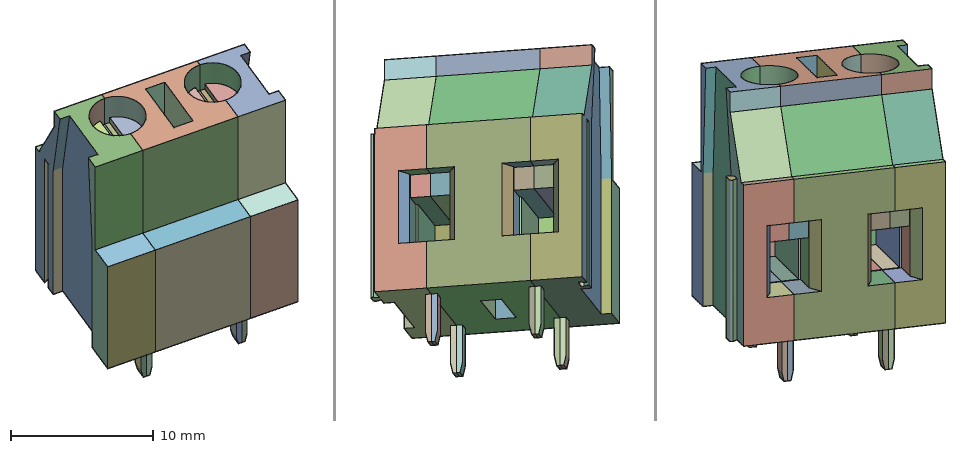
import cadquery as cq

total_height = 21.5
total_depth = 11.2
total_length = 15.6
block_height = 18.0
pitch = 7.5
block_length = 2 * pitch
half_length = block_length / 2
pole_offset = pitch / 2
pole_positions = (-pole_offset, pole_offset)

ledge_height = 12.05
ledge_width = 0.54
tower_front = 2.9
slope_top = 16.5
tower_back = 9.27
shoulder_height = 9.93

recess_depth = 0.75
recess_bottom_front = 2.75
recess_bottom_back = 8.8
recess_top_front = 3.8
recess_top_back = 8.2

dovetail_x = 1.7
dovetail_neck_width = 0.54
dovetail_wide_width = 0.99
dovetail_height = total_length - block_length
dovetail_straight = 0.22
dovetail_corner_radius = 0.17

screw_x = 5.35
bore_diameter = 4.0
bore_depth = 2.0
screw_slot_width = 0.75
screw_slot_depth = 0.5

entry_bottom = 3.45
mouth_top = 8.8
mouth_width = 4.06
mouth_taper_depth = 0.97
mouth_depth = 1.16
tunnel_top = 7.12
tunnel_width = 2.9
tunnel_end = 2.82
chamber_width = 2.6
chamber_bottom = 3.48
chamber_end = 2 * screw_x - tunnel_end

pin_length = total_height - block_height
pin_width_x = 0.92
pin_width_y = 0.85
pin_tip_width = 0.52
pin_tip_length = 0.73
front_pin_x = 1.9
pin_positions = (front_pin_x, front_pin_x + pitch)


def box(x_range, y_range, z_range):
    """Box spanning the given (low, high) pairs."""
    sizes = [high - low for low, high in (x_range, y_range, z_range)]
    corner = (x_range[0], y_range[0], z_range[0])
    return cq.Workplane("XY").box(*sizes, centered=False).translate(corner)


def centred_range(centre, width):
    return (centre - width / 2, centre + width / 2)


def block_slice(y_low, y_high):
    """Plain block profile extruded from y_low to y_high."""
    outline = [
        (0, 0),
        (0, ledge_height),
        (ledge_width, ledge_height),
        (tower_front, slope_top),
        (tower_front, block_height),
        (tower_back, block_height),
        (tower_back, shoulder_height),
        (total_depth, shoulder_height),
        (total_depth, 0),
    ]
    plane = cq.Workplane("XZ", origin=(0, y_low, 0))
    return plane.polyline(outline).close().extrude(y_low - y_high)


def side_recess(y_low, y_high):
    """Full-height recess in an end face, narrowing above the ledge and the shoulder."""
    outline = [
        (recess_bottom_front, 0),
        (recess_bottom_front, ledge_height),
        (recess_top_front, block_height),
        (recess_top_back, block_height),
        (recess_bottom_back, shoulder_height),
        (recess_bottom_back, 0),
    ]
    plane = cq.Workplane("XZ", origin=(0, y_low, 0))
    return plane.polyline(outline).close().extrude(y_low - y_high)


def middle_slot():
    """Straight slot through the block between the poles."""
    return box(
        (recess_top_front, recess_top_back),
        (-recess_depth, recess_depth),
        (0, block_height),
    )


def dovetail(root_y):
    """Dovetail prism standing on the plane y = root_y and widening towards +Y."""
    neck = dovetail_neck_width / 2
    wide = dovetail_wide_width / 2
    straight_y = dovetail_height - dovetail_straight
    outline = [
        (-neck, 0),
        (-wide, straight_y),
        (-wide, dovetail_height),
        (wide, dovetail_height),
        (wide, straight_y),
        (neck, 0),
    ]
    prism = cq.Workplane("XY").polyline(outline).close().extrude(ledge_height)
    prism = prism.edges("|Z and >Y").fillet(dovetail_corner_radius)
    return prism.translate((dovetail_x, root_y, 0))


def screw_cylinder(pole_y, z_low, z_high):
    """Cylinder on the screw axis, turned so that its seam lies off the plane between the bodies."""
    plane = cq.Plane(origin=(screw_x, pole_y, z_low), xDir=(0, 1, 0), normal=(0, 0, 1))
    return cq.Workplane(plane).circle(bore_diameter / 2).extrude(z_high - z_low)


def screw_bore(pole_y):
    """Screw access bore with the driver slot in its floor."""
    floor = block_height - bore_depth
    slot_bottom = floor - screw_slot_depth
    slot_box = box(
        centred_range(screw_x, bore_diameter),
        centred_range(pole_y, screw_slot_width),
        (slot_bottom, floor),
    )
    slot = screw_cylinder(pole_y, slot_bottom, floor).intersect(slot_box)
    return screw_cylinder(pole_y, floor, block_height).union(slot)


def wire_entry(pole_y):
    """Tapered mouth leading into the tunnel and the clamp chamber."""
    mouth_outline = [
        (0, pole_y - mouth_width / 2),
        (mouth_taper_depth, pole_y - tunnel_width / 2),
        (mouth_depth, pole_y - tunnel_width / 2),
        (mouth_depth, pole_y + tunnel_width / 2),
        (mouth_taper_depth, pole_y + tunnel_width / 2),
        (0, pole_y + mouth_width / 2),
    ]
    mouth = (
        cq.Workplane("XY", origin=(0, 0, entry_bottom))
        .polyline(mouth_outline)
        .close()
        .extrude(mouth_top - entry_bottom)
    )
    tunnel = box(
        (mouth_depth, tunnel_end),
        centred_range(pole_y, tunnel_width),
        (entry_bottom, tunnel_top),
    )
    chamber = box(
        (tunnel_end, chamber_end),
        centred_range(pole_y, chamber_width),
        (chamber_bottom, tunnel_top),
    )
    return mouth.union(tunnel).union(chamber)


def solder_pin(pin_x, pole_y):
    """Rectangular pin below the block, tapered in Y at its tip."""
    half_width = pin_width_y / 2
    half_tip = pin_tip_width / 2
    taper_start = pin_tip_length - pin_length
    outline = [
        (pole_y - half_width, 0),
        (pole_y + half_width, 0),
        (pole_y + half_width, taper_start),
        (pole_y + half_tip, -pin_length),
        (pole_y - half_tip, -pin_length),
        (pole_y - half_width, taper_start),
    ]
    plane = cq.Workplane("YZ", origin=(pin_x - pin_width_x / 2, 0, 0))
    return plane.polyline(outline).close().extrude(pin_width_x)


def pole_slice(y_low, y_high):
    """Block slice with its share of the pins, screw bores and wire entries."""
    body = block_slice(-half_length, half_length)
    for pole_y in pole_positions:
        body = body.cut(screw_bore(pole_y)).cut(wire_entry(pole_y))
        for pin_x in pin_positions:
            body = body.union(solder_pin(pin_x, pole_y))
    return body.intersect(box((0, total_depth), (y_low, y_high), (-pin_length, block_height)))


def make_ribbed_end():
    body = pole_slice(pole_offset, half_length)
    body = body.cut(side_recess(half_length - recess_depth, half_length))
    return body.union(dovetail(half_length))


def make_middle_section():
    return pole_slice(-pole_offset, pole_offset).cut(middle_slot())


def make_grooved_end():
    body = pole_slice(-half_length, -pole_offset)
    body = body.cut(side_recess(-half_length, recess_depth - half_length))
    return body.cut(dovetail(-half_length))


ribbed_end = make_ribbed_end()
middle_section = make_middle_section()
grooved_end = make_grooved_end()

result = cq.Compound.makeCompound([ribbed_end.val(), middle_section.val(), grooved_end.val()])